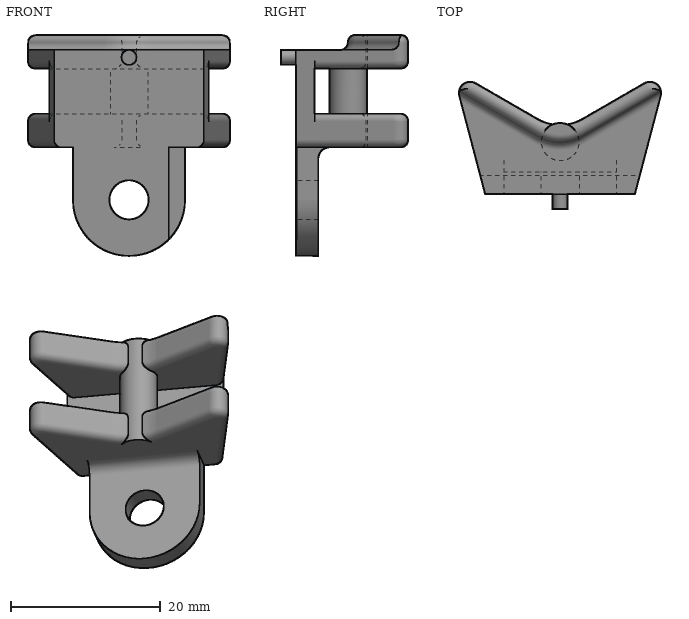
import cadquery as cq
import math

overall_width = 27.0
overall_height = 29.5
body_depth = 15.0
front_width = 20.0

edge_radius = 1.0
lip_height = 2 * edge_radius
upper_thickness = 2.5
slot_height = 6.0
lower_thickness = 4.5
wall_thickness = 2.5
deck_z = overall_height - lip_height
slot_top_z = deck_z - upper_thickness
slot_bottom_z = slot_top_z - slot_height
body_bottom_z = slot_bottom_z - lower_thickness

notch_slope = math.radians(30)
notch_bend_radius = 6.0
tip_radius = 1.5

pin_radius = 2.5
pin_y = 7.0
peg_radius = 1.0
peg_length = 2.0
lug_radius = 7.5
lug_thickness = 3.0
lug_root_radius = 1.5
lug_hole_diameter = 5.2
label_strip_x = 5.3
label_strip_depth = 0.1

tip_x = overall_width / 2 - tip_radius
tip_y = body_depth - tip_radius
notch_apex_y = tip_y + tip_radius / math.cos(notch_slope) - tip_x * math.tan(notch_slope)
side_run = tip_x - front_width / 2
side_slope = math.atan2(side_run, tip_y) + math.asin(tip_radius / math.hypot(side_run, tip_y))


def on_tip(angle):
    """Point of the right-hand tip arc, at an angle measured from +X."""
    return (tip_x + tip_radius * math.cos(angle), tip_y + tip_radius * math.sin(angle))


def mirrored(point):
    return (-point[0], point[1])


def notch_bend(offset, radius):
    """Right end and middle of the bend of a V line set forward of the notch by an offset."""
    center_y = notch_apex_y + (radius - offset) / math.cos(notch_slope)
    end = (radius * math.sin(notch_slope), center_y - radius * math.cos(notch_slope))
    return end, (0, center_y - radius)


def body_prism(bottom, top):
    """Plan outline of the clevis extruded between two heights."""
    front_corner = (front_width / 2, 0)
    side_end = on_tip(-side_slope)
    tip_middle = on_tip((math.pi / 2 + notch_slope - side_slope) / 2)
    arm_start = on_tip(math.pi / 2 + notch_slope)
    bend_end, bend_middle = notch_bend(0, notch_bend_radius)
    return (
        cq.Workplane("XY", origin=(0, 0, bottom))
        .moveTo(*mirrored(front_corner))
        .lineTo(*front_corner)
        .lineTo(*side_end)
        .threePointArc(tip_middle, arm_start)
        .lineTo(*bend_end)
        .threePointArc(bend_middle, mirrored(bend_end))
        .lineTo(*mirrored(arm_start))
        .threePointArc(mirrored(tip_middle), mirrored(side_end))
        .close()
        .extrude(top - bottom)
    )


def flange(bottom, top):
    """Clevis flange, rounded above and below on every side but the front."""
    plate = body_prism(bottom, top)
    rim = plate.faces("<Z or >Z").edges().filter(lambda edge: edge.Center().y > edge_radius)
    return rim.fillet(edge_radius)


def front_wall():
    """Wall joining the flanges, with its lower side edges rounded like theirs."""
    slab = cq.Workplane("XY").box(overall_width, wall_thickness, deck_z, centered=(True, False, False))
    lower_part = flange(body_bottom_z, slot_top_z)
    upper_part = body_prism(slot_bottom_z, deck_z)
    return lower_part.intersect(slab).union(upper_part.intersect(slab))


def v_line(offset, bend_radius):
    """V line at deck height, forward of the notch by an offset, with arms running past the tips."""
    bend_end, bend_middle = notch_bend(offset, bend_radius)
    arm_end = (bend_end[0] + overall_width, bend_end[1] + overall_width * math.tan(notch_slope))
    return (
        cq.Workplane("XY", origin=(0, 0, deck_z))
        .moveTo(*arm_end)
        .lineTo(*bend_end)
        .threePointArc(bend_middle, mirrored(bend_end))
        .lineTo(*mirrored(arm_end))
    )


def lip_cutter():
    """Space above the deck in front of the lip, following the lip's half-round crest and root fillet."""
    crest_line = v_line(edge_radius, notch_bend_radius - edge_radius).wire()
    section_plane = cq.Plane(
        origin=crest_line.vertices(">X").val().toTuple(),
        xDir=(math.sin(notch_slope), -math.cos(notch_slope), 0),
        normal=(-math.cos(notch_slope), -math.sin(notch_slope), 0),
    )
    diagonal = edge_radius * math.sqrt(0.5)
    root_distance = 2 * edge_radius
    moulding = (
        cq.Workplane(section_plane)
        .moveTo(0, lip_height)
        .threePointArc((diagonal, edge_radius + diagonal), (edge_radius, edge_radius))
        .threePointArc((root_distance - diagonal, edge_radius - diagonal), (root_distance, 0))
        .lineTo(root_distance, lip_height)
        .close()
        .sweep(crest_line)
    )
    clearance = (
        v_line(edge_radius + root_distance, notch_bend_radius + edge_radius)
        .lineTo(-2 * overall_width, -overall_width)
        .lineTo(2 * overall_width, -overall_width)
        .close()
        .extrude(lip_height)
    )
    return moulding.union(clearance)


def lug():
    """Round-ended mounting lug with its hole, label strip and rear root fillet."""
    plate = (
        cq.Workplane("XZ")
        .moveTo(-lug_radius, slot_bottom_z)
        .lineTo(-lug_radius, lug_radius)
        .threePointArc((0, 0), (lug_radius, lug_radius))
        .lineTo(lug_radius, slot_bottom_z)
        .close()
        .extrude(-lug_thickness)
    )
    root = (
        cq.Workplane("YZ", origin=(-lug_radius, 0, 0))
        .moveTo(lug_thickness, body_bottom_z)
        .lineTo(lug_thickness + lug_root_radius, body_bottom_z)
        .radiusArc((lug_thickness, body_bottom_z - lug_root_radius), -lug_root_radius)
        .close()
        .extrude(2 * lug_radius)
    )
    hole = (
        cq.Workplane("XZ", origin=(0, 0, lug_radius))
        .circle(lug_hole_diameter / 2)
        .extrude(-lug_thickness)
    )
    strip = cq.Workplane("XY", origin=(label_strip_x, 0, 0)).box(
        lug_radius - label_strip_x, label_strip_depth, body_bottom_z, centered=False
    )
    return plate.union(root).cut(hole).cut(strip)


pin = (
    cq.Workplane("XY", origin=(0, pin_y, body_bottom_z))
    .circle(pin_radius)
    .extrude(overall_height - body_bottom_z)
)
peg = (
    cq.Workplane("XZ", origin=(0, 0, deck_z - peg_radius))
    .circle(peg_radius)
    .extrude(peg_length)
)

clevis = flange(slot_top_z, overall_height).union(pin).cut(lip_cutter())
clevis = clevis.union(flange(body_bottom_z, slot_bottom_z)).union(front_wall())
result = clevis.union(lug()).union(peg)